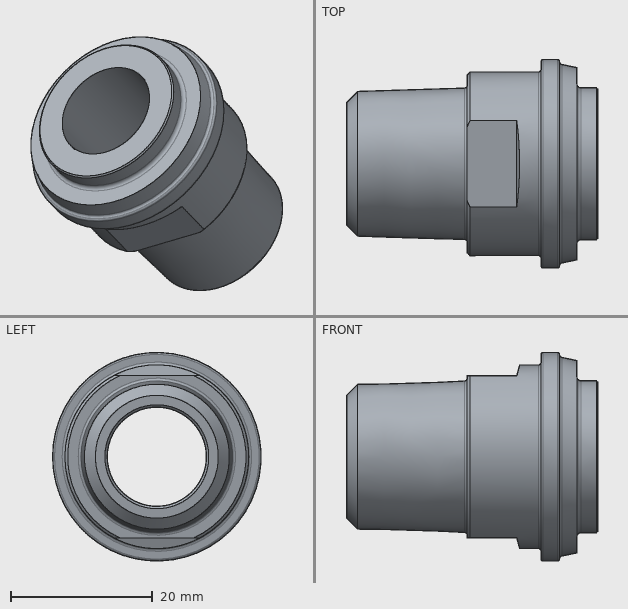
import cadquery as cq
import math

length = 35.5
bore_radius = 14.0 / 2
bore_chamfer = 0.35

neck_radius = 10.72
neck_taper = 1 / 32
neck_tip_chamfer = 1.55

body_start = 17.05
body_radius = 26.0 / 2
edge_break = 0.4
root_fillet = 0.4

collar_start = 27.48
collar_radius = 29.5 / 2
collar_end = 30.1
collar_edge_radius = 0.3

cone_end = 32.55
cone_large_radius = 14.05
cone_angle = math.radians(12)
cone_root_fillet = 0.4

spigot_radius = 21.5 / 2
spigot_fillet = 0.57
spigot_chamfer = 0.2

flat_height = 11.45
flat_end = 24.05
flat_wall_angle = 15.0


def concave_arc_middle(center_x, center_radius, fillet_radius, direction):
    """Midpoint of a quarter-round fillet; direction is the side of its center facing the corner."""
    offset = fillet_radius * math.sqrt(0.5)
    return center_x + direction * offset, center_radius - offset


neck_end = body_start - root_fillet
neck_tip_radius = neck_radius - neck_taper * (neck_end - neck_tip_chamfer)
neck_root_radius = neck_radius + root_fillet
body_root_radius = body_radius + root_fillet
cone_start = collar_end + cone_root_fillet * (1 - math.sin(cone_angle))
cone_root_center_x = collar_end + cone_root_fillet
cone_root_radius = cone_large_radius + cone_root_fillet * math.cos(cone_angle)
cone_root_middle = (math.pi / 2 - cone_angle) / 2
cone_small_radius = cone_large_radius - (cone_end - cone_start) * math.tan(cone_angle)
collar_round_offset = collar_edge_radius * math.sqrt(0.5)
collar_round_center = collar_radius - collar_edge_radius
spigot_root_radius = spigot_radius + spigot_fillet

profile = (
    cq.Workplane("XY")
    .moveTo(0, 0)
    .lineTo(0, neck_tip_radius - neck_tip_chamfer)
    .lineTo(neck_tip_chamfer, neck_tip_radius)
    .lineTo(neck_end, neck_radius)
    .threePointArc(
        concave_arc_middle(neck_end, neck_root_radius, root_fillet, 1),
        (body_start, neck_root_radius),
    )
    .lineTo(body_start, body_radius - edge_break)
    .lineTo(body_start + edge_break, body_radius)
    .lineTo(collar_start - root_fillet, body_radius)
    .threePointArc(
        concave_arc_middle(collar_start - root_fillet, body_root_radius, root_fillet, 1),
        (collar_start, body_root_radius),
    )
    .lineTo(collar_start, collar_round_center)
    .threePointArc(
        (collar_start + collar_edge_radius - collar_round_offset, collar_round_center + collar_round_offset),
        (collar_start + collar_edge_radius, collar_radius),
    )
    .lineTo(collar_end - collar_edge_radius, collar_radius)
    .threePointArc(
        (collar_end - collar_edge_radius + collar_round_offset, collar_round_center + collar_round_offset),
        (collar_end, collar_round_center),
    )
    .lineTo(collar_end, cone_root_radius)
    .threePointArc(
        (
            cone_root_center_x - cone_root_fillet * math.cos(cone_root_middle),
            cone_root_radius - cone_root_fillet * math.sin(cone_root_middle),
        ),
        (cone_start, cone_large_radius),
    )
    .lineTo(cone_end, cone_small_radius)
    .lineTo(cone_end, spigot_root_radius)
    .threePointArc(
        concave_arc_middle(cone_end + spigot_fillet, spigot_root_radius, spigot_fillet, -1),
        (cone_end + spigot_fillet, spigot_radius),
    )
    .lineTo(length - spigot_chamfer, spigot_radius)
    .lineTo(length, spigot_radius - spigot_chamfer)
    .lineTo(length, 0)
    .close()
)
fitting = profile.revolve(360, (0, 0, 0), (1, 0, 0))

mouth_radius = bore_radius + bore_chamfer
bore = (
    cq.Workplane("XY")
    .polyline([(0, 0), (0, mouth_radius), (bore_chamfer, bore_radius), (length, bore_radius), (length, 0)])
    .close()
    .revolve(360, (0, 0, 0), (1, 0, 0))
)
fitting = fitting.cut(bore)

cutter_top = collar_radius
wall_run = (cutter_top - flat_height) * math.tan(math.radians(flat_wall_angle))
flat_cutter = (
    cq.Workplane("XZ")
    .polyline([
        (body_start, flat_height),
        (flat_end, flat_height),
        (flat_end + wall_run, cutter_top),
        (body_start, cutter_top),
    ])
    .close()
    .extrude(collar_radius, both=True)
)
result = fitting.cut(flat_cutter).cut(flat_cutter.mirror("XY"))